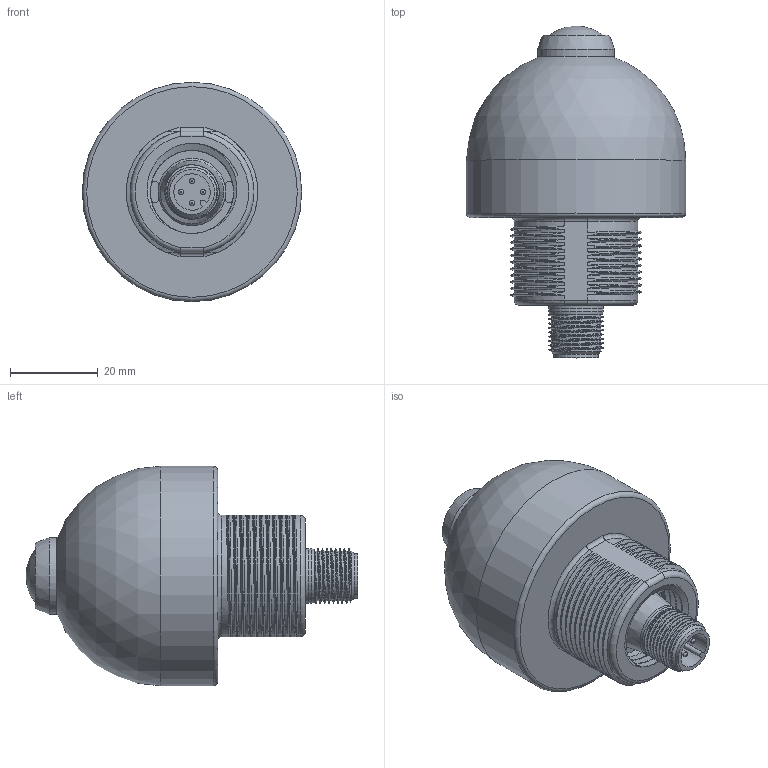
import cadquery as cq
import math


overall_length = 75.67
nose_length = 12.0
shank_length = 20.0
skirt_length = 13.1
shank_end_y = nose_length
housing_base_y = shank_end_y + shank_length
dome_center_y = housing_base_y + skirt_length

housing_radius = 25.0
housing_edge_fillet = 1.0

button_radius = 8.75
button_base_y = 68.75
button_collar_y = 70.35
button_rim_y = 73.6
button_rim_radius = 7.5
button_side_bulge = 0.12
crown_radius = 6.05

shank_radius = 14.1
shank_thread_radius = 15.0
shank_thread_pitch = 1.5
shank_thread_half_turns = 21
shank_thread_start_y = 13.95
shank_flat_height = 13.85
shank_end_fillet = 1.15
shank_root_fillet = 0.9

recess_radius = 9.47
recess_floor_y = 19.0
recess_thread_pitch = 25.4 / 14
recess_thread_radius = 11.1
slot_center_radius = 8.5
slot_width = 1.85
slot_height = 4.9
slot_depth = 1.0
slot_corner_radius = 0.9

tip_radius = 5.1
tip_land = 0.85
nose_radius = 5.66
nose_thread_radius = 6.2
nose_thread_pitch = 1.0
nose_thread_start_y = 1.09
nose_thread_turns = 9
collar_start_y = 10.0
collar_taper_y = 10.5
collar_start_radius = 6.1
collar_end_y = 11.18
flare_radius = 7.2
flare_root = 0.5

socket_radius = 4.15
socket_depth = 8.0
pin_circle_radius = 2.5
pin_radius = 0.6
pin_recess = 2.4
pin_tip_fillet = 0.45
pin_count = 4
key_circle_radius = 3.45
key_radius = 0.58
key_angle = 45

thread_crest_width = 0.12
thread_root_overlap = 0.15
root_width_ratio = 0.62
recess_root_width_ratio = 0.95

START_PLUS_Z = -90
START_MINUS_Z = 90


def cylinder(radius, y_from, y_to, x=0.0, z=0.0):
    """Cylinder parallel to Y."""
    base = cq.Workplane("XZ", origin=(x, y_from, z))
    return base.circle(radius).extrude(y_from - y_to)


def lathe(profile):
    """Revolve a closed profile of (radius, Y) about the Y axis."""
    return profile.close().revolve(360, (0, 0, 0), (0, 1, 0))


def helix_ridge(pitch, turns, start_y, start_angle, root_radius, crest_radius, root_width):
    """Right-hand helical ridge about Y with a narrow flat crest."""
    path = cq.Wire.makeHelix(pitch, pitch * turns, root_radius)
    half_root = root_width / 2
    half_crest = thread_crest_width / 2
    section = cq.Workplane("XZ").polyline([
        (root_radius, -half_root),
        (crest_radius, -half_crest),
        (crest_radius, half_crest),
        (root_radius, half_root),
    ]).close()
    ridge = section.sweep(cq.Workplane(path), isFrenet=True)
    ridge = ridge.rotate((0, 0, 0), (1, 0, 0), -90)
    ridge = ridge.rotate((0, 0, 0), (0, 1, 0), start_angle)
    return ridge.translate((0, start_y, 0))


def make_housing():
    dome_end_y = dome_center_y + housing_radius
    diagonal = housing_radius * math.sqrt(0.5)
    profile = (
        cq.Workplane("XY")
        .moveTo(0, housing_base_y)
        .lineTo(housing_radius, housing_base_y)
        .lineTo(housing_radius, dome_center_y)
        .threePointArc((diagonal, dome_center_y + diagonal), (0, dome_end_y))
    )
    return lathe(profile).faces("<Y").edges().fillet(housing_edge_fillet)


def make_button():
    crown_height = overall_length - button_rim_y
    crown_sphere = (crown_radius ** 2 + crown_height ** 2) / (2 * crown_height)
    crown_mid = crown_radius / 2
    crown_mid_y = overall_length - crown_sphere + math.sqrt(crown_sphere ** 2 - crown_mid ** 2)
    side_mid = (button_radius + button_rim_radius) / 2 + button_side_bulge
    side_mid_y = (button_collar_y + button_rim_y) / 2
    profile = (
        cq.Workplane("XY")
        .moveTo(0, button_base_y)
        .lineTo(button_radius, button_base_y)
        .lineTo(button_radius, button_collar_y)
        .threePointArc((side_mid, side_mid_y), (button_rim_radius, button_rim_y))
        .lineTo(crown_radius, button_rim_y)
        .threePointArc((crown_mid, crown_mid_y), (0, overall_length))
    )
    return lathe(profile)


def between_flats(body):
    """Keep the part of a body that lies between the two shank flats."""
    slab = cq.Workplane("XY").box(
        4 * shank_radius, 2 * housing_base_y, 2 * shank_flat_height)
    return body.intersect(slab)


def add_shank(body):
    core = between_flats(cylinder(shank_radius, shank_end_y, housing_base_y))
    core = core.faces("<Y").edges().fillet(shank_end_fillet)
    body = body.union(core)
    reach = shank_radius + shank_root_fillet
    margin = 0.1
    root_edges = cq.selectors.BoxSelector(
        (-reach, housing_base_y - margin, -reach), (reach, housing_base_y + margin, reach))
    return body.edges(root_edges).fillet(shank_root_fillet)


def add_shank_thread(body):
    """Add the thread as half turns, each lying on one side between the two flats."""
    half_turn = between_flats(helix_ridge(
        shank_thread_pitch, 0.5, shank_thread_start_y, START_MINUS_Z,
        shank_radius - thread_root_overlap, shank_thread_radius,
        root_width_ratio * shank_thread_pitch))
    copies = []
    for index in range(shank_thread_half_turns):
        turned = half_turn.rotate((0, 0, 0), (0, 1, 0), 180 * index)
        raised = turned.translate((0, index * shank_thread_pitch / 2, 0))
        copies.append(raised.val())
    return body.union(cq.Workplane(cq.Compound.makeCompound(copies)))


def cut_recess(body):
    body = body.cut(cylinder(recess_radius, shank_end_y, recess_floor_y))
    start_y = shank_end_y - recess_thread_pitch
    root_width = recess_root_width_ratio * recess_thread_pitch
    turns = (recess_floor_y - root_width / 2 - start_y) / recess_thread_pitch
    groove = helix_ridge(
        recess_thread_pitch, turns, start_y, START_PLUS_Z,
        recess_radius - thread_root_overlap, recess_thread_radius, root_width)
    body = body.cut(groove)
    for side in (-1, 1):
        slot = (
            cq.Workplane("XZ", origin=(side * slot_center_radius, recess_floor_y, 0))
            .rect(slot_width, slot_height)
            .extrude(-slot_depth)
            .edges("|Y")
            .fillet(slot_corner_radius)
        )
        body = body.cut(slot)
    return body


def make_nose():
    chamfer_end_y = tip_land + nose_radius - tip_radius
    core = lathe(
        cq.Workplane("XY").polyline([
            (0, 0),
            (tip_radius, 0),
            (tip_radius, tip_land),
            (nose_radius, chamfer_end_y),
            (nose_radius, collar_start_y),
            (collar_start_radius, collar_start_y),
            (nose_thread_radius, collar_taper_y),
            (nose_thread_radius, collar_end_y),
            (flare_radius, recess_floor_y - flare_root),
            (flare_radius + flare_root, recess_floor_y),
            (0, recess_floor_y),
        ])
    )
    ridge = helix_ridge(
        nose_thread_pitch, nose_thread_turns, nose_thread_start_y, START_PLUS_Z,
        nose_radius - thread_root_overlap, nose_thread_radius,
        root_width_ratio * nose_thread_pitch)
    lead_in = lathe(
        cq.Workplane("XY").polyline([
            (0, tip_land),
            (tip_radius, tip_land),
            (shank_radius, tip_land + shank_radius - tip_radius),
            (0, tip_land + shank_radius - tip_radius),
        ])
    )
    return core.union(ridge.intersect(lead_in))


def make_key():
    """Bar along the socket wall, flush with the tip."""
    reach = socket_radius + (tip_radius - socket_radius) / 2
    bar_length = reach - key_circle_radius
    bar = (
        cq.Workplane("XZ", origin=(key_circle_radius + bar_length / 2, 0, 0))
        .rect(bar_length, 2 * key_radius)
        .extrude(-socket_depth)
    )
    key = bar.union(cylinder(key_radius, 0, socket_depth, x=key_circle_radius))
    return key.rotate((0, 0, 0), (0, 1, 0), key_angle)


def add_socket(body):
    body = body.cut(cylinder(socket_radius, 0, socket_depth))
    for index in range(pin_count):
        angle = index * 2 * math.pi / pin_count
        pin = cylinder(
            pin_radius, pin_recess, socket_depth,
            x=pin_circle_radius * math.cos(angle), z=pin_circle_radius * math.sin(angle))
        body = body.union(pin.faces("<Y").edges().fillet(pin_tip_fillet))
    return body.union(make_key())


housing = add_shank(make_housing()).union(make_button())
housing = cut_recess(housing)
housing = add_shank_thread(housing)
result = housing.union(add_socket(make_nose()))